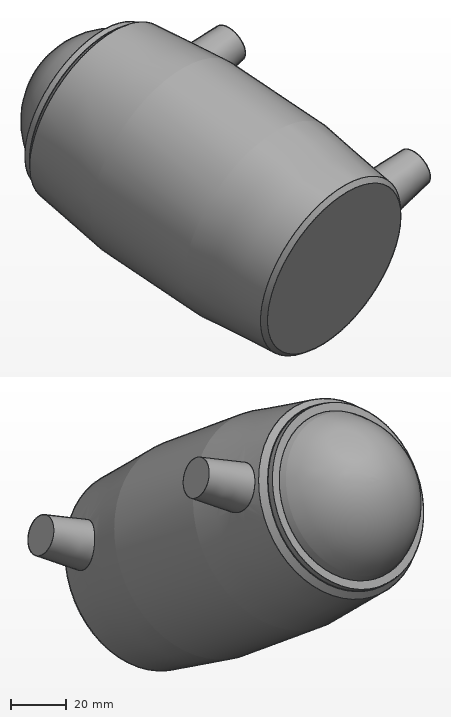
import cadquery as cq
import math

overall_length = 141.78
dome_base_diameter = 63.0
collar_diameter = 1.1 * dome_base_diameter
barrel_diameter = 82.0
barrel_end_diameter = 74.4

dome_height = 21.9
dome_rim_length = 2.6
collar_length = 2.5
front_chamfer = 2.3
front_taper_length = 33.4
middle_length = 46.0
rear_chamfer = 1.8

nozzle_tip_diameter = 15.2
nozzle_draft = 5.0
nozzle_reach = 16.0
nozzle_root_offset = 25.0
front_nozzle_x = 13.5
nozzle_spacing = 90.8

dome_base_radius = dome_base_diameter / 2
collar_radius = collar_diameter / 2
barrel_radius = barrel_diameter / 2
barrel_end_radius = barrel_end_diameter / 2
collar_front_x = -collar_length
dome_tip_x = collar_front_x - dome_height
rear_x = dome_tip_x + overall_length
front_taper_x = front_chamfer
middle_front_x = front_taper_x + front_taper_length
middle_rear_x = middle_front_x + middle_length
rear_taper_x = rear_x - rear_chamfer
dome_sphere_radius = (dome_height**2 + dome_base_radius**2) / (2 * dome_height)
dome_cap_height = dome_height - dome_rim_length
nozzle_tip_y = barrel_radius + nozzle_reach


def dome_point(height):
    """Point on the spherical dome at the given distance behind its tip."""
    return (dome_tip_x + height, math.sqrt(height * (2 * dome_sphere_radius - height)))


def make_body():
    """Dome, collar and barrel turned as one profile about the X axis."""
    profile = (
        cq.Workplane("XY")
        .moveTo(dome_tip_x, 0)
        .threePointArc(dome_point(dome_cap_height / 2), dome_point(dome_cap_height))
        .lineTo(collar_front_x, dome_base_radius)
        .lineTo(collar_front_x, collar_radius)
        .lineTo(0, collar_radius)
        .lineTo(0, barrel_end_radius - front_chamfer)
        .lineTo(front_taper_x, barrel_end_radius)
        .lineTo(middle_front_x, barrel_radius)
        .lineTo(middle_rear_x, barrel_radius)
        .lineTo(rear_taper_x, barrel_end_radius)
        .lineTo(rear_x, barrel_end_radius - rear_chamfer)
        .lineTo(rear_x, 0)
        .close()
    )
    return profile.revolve(360, (0, 0, 0), (1, 0, 0))


def make_nozzle(center_x):
    """Solid cone frustum pointing along +Y, its root buried in the barrel."""
    length = nozzle_tip_y - nozzle_root_offset
    tip_radius = nozzle_tip_diameter / 2
    root_radius = tip_radius + length * math.tan(math.radians(nozzle_draft))
    root_center = cq.Vector(center_x, nozzle_root_offset, 0)
    cone = cq.Solid.makeCone(root_radius, tip_radius, length, root_center, cq.Vector(0, 1, 0))
    return cq.Workplane(cone)


result = make_body()
for nozzle_x in (front_nozzle_x, front_nozzle_x + nozzle_spacing):
    result = result.union(make_nozzle(nozzle_x))